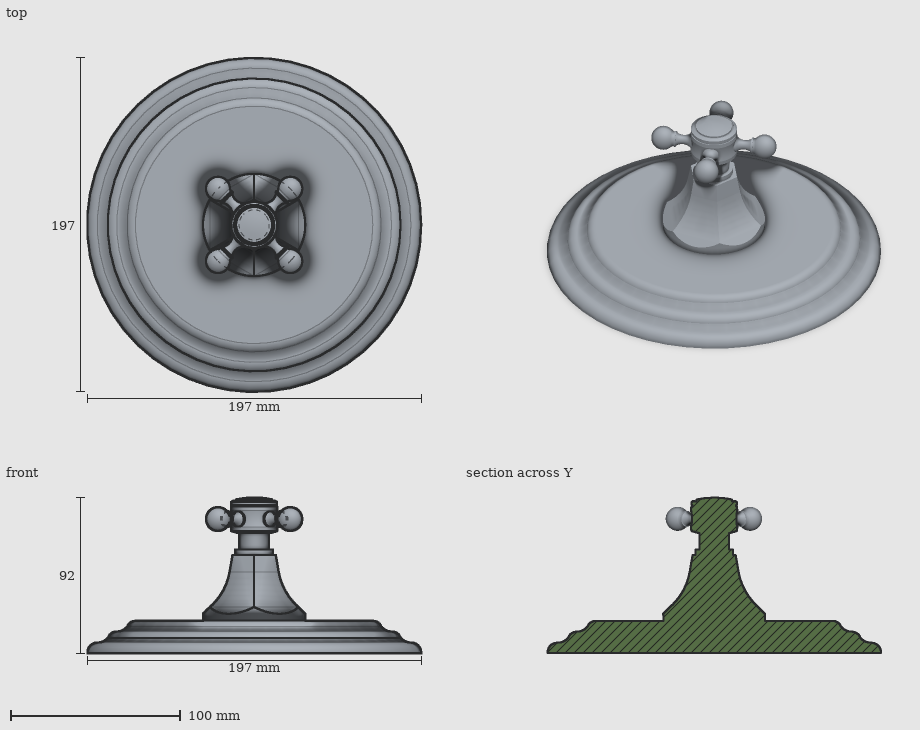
import cadquery as cq
import math

plate_radius = 98.5
plate_thickness = 19.3
lower_step_radius = 92.3
lower_step_height = 6.5
middle_step_radius = 81.0
middle_step_height = 13.0
plate_flat_radius = 69.9
lower_cove_rise = 2.8
upper_cove_rise = 3.0
cove_run = 6.1

body_radius = 30.1
flat_pairs = 3
body_flare_bottom = 27.4
body_flare_top = 47.8
body_top = 58.0
flare_top_apothem = 14.5
body_top_apothem = 12.8

collar_radius = 11.2
collar_top = 61.2
stem_radius = 8.9

hub_bottom = 70.9
hub_bottom_radius = 9.5
hub_edge_height = 72.0
hub_radius = 13.5
lower_ridge_height = 74.5
upper_ridge_height = 84.3
ridge_radius = 13.8
waist_radius = 13.2
groove_bottom = 86.6
groove_top = 87.4
groove_depth = 0.5
hub_shoulder = 89.2
cap_rim_radius = 11.8
cap_rim_height = 90.2
cap_groove_inner_radius = 10.6
cap_groove_floor = 89.8
cap_edge_height = 90.7
overall_height = 92.0

arm_count = 4
first_arm_angle = 45
arm_height = 79.1
ball_distance = 30.1
ball_radius = 7.0
arm_root = 13.4
arm_root_radius = 4.7
arm_waist = 17.7
arm_waist_radius = 2.8
ring_start = 22.5
ring_end = 23.5
ring_radius = 4.7
arm_end_radius = 4.1
ball_neck_end = 25.4
ball_neck_radius = 4.3
ball_neck_sag = 0.2


def tangent_middle(far, level):
    """Point halfway along the arc from `far` to `level` that is horizontal at `level`."""
    run = far[0] - level[0]
    rise = far[1] - level[1]
    radius = (run**2 + rise**2) / (2 * abs(rise))
    half_angle = math.atan2(abs(rise), abs(run))
    x = level[0] + math.copysign(radius * math.sin(half_angle), run)
    y = level[1] + math.copysign(radius * (1 - math.cos(half_angle)), rise)
    return x, y


def make_plate():
    """Disc whose edge is a rounded rim followed by two ogee steps."""
    rim_radius = plate_radius - lower_step_radius
    rim_start = (plate_radius, lower_step_height - rim_radius)
    lower_step = (lower_step_radius, lower_step_height)
    lower_cove = (lower_step_radius - cove_run, lower_step_height + lower_cove_rise)
    middle_step = (middle_step_radius, middle_step_height)
    upper_cove = (middle_step_radius - cove_run, middle_step_height + upper_cove_rise)
    flat_edge = (plate_flat_radius, plate_thickness)
    return (
        cq.Workplane("XZ")
        .lineTo(plate_radius, 0)
        .lineTo(*rim_start)
        .threePointArc(tangent_middle(rim_start, lower_step), lower_step)
        .threePointArc(tangent_middle(lower_cove, lower_step), lower_cove)
        .threePointArc(tangent_middle(lower_cove, middle_step), middle_step)
        .threePointArc(tangent_middle(upper_cove, middle_step), upper_cove)
        .threePointArc(tangent_middle(upper_cove, flat_edge), flat_edge)
        .lineTo(0, plate_thickness)
        .close()
        .revolve(360, (0, 0), (0, 1))
    )


def make_flare_slab(angle):
    """Long slab with the flare profile on two opposite faces, turned about Z."""
    flare_bottom_apothem = body_radius * math.cos(math.pi / (2 * flat_pairs))
    bottom_apothem = flare_bottom_apothem + (body_flare_bottom - plate_thickness)
    return (
        cq.Workplane("XZ")
        .moveTo(0, body_top)
        .lineTo(body_top_apothem, body_top)
        .lineTo(flare_top_apothem, body_flare_top)
        .tangentArcPoint((flare_bottom_apothem, body_flare_bottom), relative=False)
        .lineTo(bottom_apothem, plate_thickness)
        .lineTo(0, plate_thickness)
        .mirrorY()
        .extrude(2 * body_radius, both=True)
        .rotate((0, 0, 0), (0, 0, 1), angle)
    )


def make_body():
    """Hexagonal flare with corners on the Y axis, trimmed by a round foot."""
    body = cq.Workplane("XY").circle(body_radius).extrude(body_top)
    for index in range(flat_pairs):
        body = body.intersect(make_flare_slab(index * 180 / flat_pairs))
    return body


def make_collar_and_stem():
    """Low collar on the body and a round stem that runs up into the hub."""
    collar = cq.Workplane("XY", origin=(0, 0, body_top)).circle(collar_radius).extrude(collar_top - body_top)
    stem = cq.Workplane("XY", origin=(0, 0, body_top)).circle(stem_radius).extrude(arm_height - body_top)
    return collar.union(stem)


def make_hub():
    """Turned hub with a concave waist, a groove under its cap and a domed, ring-grooved top."""
    cap_edge = (cap_groove_inner_radius, cap_edge_height)
    cap_top = (0, overall_height)
    groove_radius = hub_radius - groove_depth
    return (
        cq.Workplane("XZ")
        .moveTo(0, hub_bottom)
        .lineTo(hub_bottom_radius, hub_bottom)
        .lineTo(hub_radius, hub_edge_height)
        .lineTo(ridge_radius, lower_ridge_height)
        .threePointArc((waist_radius, arm_height), (ridge_radius, upper_ridge_height))
        .lineTo(hub_radius, groove_bottom)
        .lineTo(groove_radius, groove_bottom)
        .lineTo(groove_radius, groove_top)
        .lineTo(hub_radius, groove_top)
        .lineTo(hub_radius, hub_shoulder)
        .lineTo(cap_rim_radius, cap_rim_height)
        .lineTo(cap_rim_radius, cap_groove_floor)
        .lineTo(cap_groove_inner_radius, cap_groove_floor)
        .lineTo(*cap_edge)
        .threePointArc(tangent_middle(cap_edge, cap_top), cap_top)
        .close()
        .revolve(360, (0, 0), (0, 1))
    )


def make_arm(angle):
    """Waisted spoke with a ring and a necked ball end, turned about its own axis."""
    ball_start = (ball_neck_end, math.sqrt(ball_radius**2 - (ball_distance - ball_neck_end) ** 2))
    neck_start = (ring_end, ball_neck_radius)
    spoke = (
        cq.Workplane("XZ", origin=(0, 0, arm_height))
        .lineTo(0, arm_root_radius)
        .lineTo(arm_root, arm_root_radius)
        .threePointArc((arm_waist, arm_waist_radius), (ring_start, arm_end_radius))
        .lineTo(ring_start, ring_radius)
        .lineTo(ring_end, ring_radius)
        .lineTo(*neck_start)
        .sagittaArc(ball_start, -ball_neck_sag)
        .threePointArc((ball_distance, ball_radius), (ball_distance + ball_radius, 0))
        .close()
        .revolve(360, (0, 0), (1, 0))
    )
    return spoke.rotate((0, 0, 0), (0, 0, 1), angle)


result = make_plate()
for piece in (make_body(), make_collar_and_stem(), make_hub()):
    result = result.union(piece)
for index in range(arm_count):
    result = result.union(make_arm(first_arm_angle + index * 360 / arm_count))